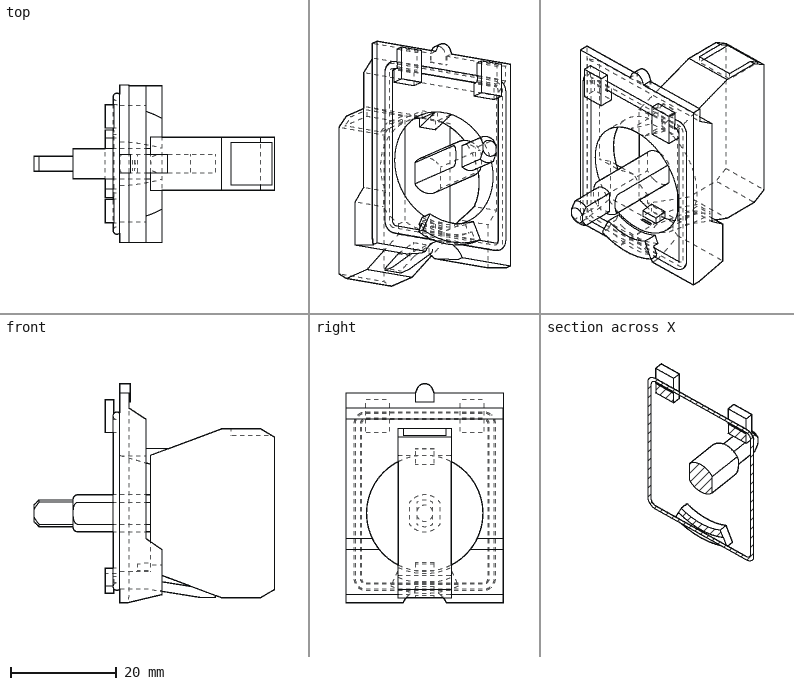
import cadquery as cq
import math


plate_half = 29.84 / 2
plate_top = 22.78
plate_bottom = -16.95
flange_thickness = 1.8
body_thickness = 5.0
base_thickness = 8.03
body_side_step = 0.12
slope_foot_z = 19.9
body_top = 17.8
body_bottom = -4.8
base_top = -6.9
base_rear_bottom = -15.4
bottom_flat = 1.5
opening_radius = 11.0
notch_radius = 4.5
notch_center_z = -18.8

tab_top = 24.55
tab_bottom = 21.1
tab_half_width = 1.78
tab_nose_radius = 1.55
tab_thickness = 2.0

wire_radius = 0.72
wire_center_x = -0.53
frame_half_width = 12.65
frame_top = 18.47
frame_bottom = -13.88
frame_corner_radius = 1.5

hook_front = -2.77
hook_back = -1.1
hook_top = 21.5
hook_height = 6.25
hook_width = 4.47
hook_center_y = 8.95
lower_hook_inner_radius = 11.43
lower_hook_outer_radius = 15.18
lower_hook_half_angle = math.radians(25)

block_front = 5.81
block_back = 29.33
block_half_width = 5.05
block_half_height = 16.0
block_front_half_height = 10.97
block_back_half_height = 14.43
taper_end = 19.3
bevel_start = 26.66
pocket_front = 21.06
pocket_back = 28.82
pocket_half_width = 4.0
pocket_floor = 14.75

shaft_front = -8.86
shaft_radius = 3.53
shaft_half_flat = 2.85
shaft_edge_radius = 0.95
tip_front = -16.26
tip_radius = 2.56
tip_half_flat = 1.46
tip_chamfer = 1.0
joint_overlap = 2.0

latch_half_width = 1.75
upper_latch_front = 0.0
upper_latch_back = 9.0
upper_latch_top = 12.28
upper_latch_front_underside = 10.95
upper_latch_underside_slope = -0.29
stop_front = 3.4
stop_front_top = -9.62
stop_back_top = -9.3
stop_bottom = -10.85
catch_front = 2.4
catch_length = 0.36
catch_top = -10.93
arm_slope = -0.16
arm_rear_face_top = -12.95
arm_rear_face_bottom = -14.8
arm_flat_bottom = -15.95
arm_back = 18.1


def extrude_across(points, y_min, y_max):
    """Extrude an XZ outline between two Y positions."""
    return cq.Workplane("XZ", origin=(0, y_max, 0)).polyline(points).close().extrude(y_max - y_min)


def box_between(x_range, y_range, z_range):
    """Box given by its limits along each axis."""
    size = [high - low for low, high in (x_range, y_range, z_range)]
    corner = (x_range[0], y_range[0], z_range[0])
    return cq.Workplane().box(*size, centered=False).translate(corner)


def make_plate():
    """Thin flange with a thicker stepped body, a round opening and a rounded notch at the bottom."""
    flange_outline = [
        (0, plate_top),
        (flange_thickness, plate_top),
        (flange_thickness, base_rear_bottom),
        (bottom_flat, plate_bottom),
        (0, plate_bottom),
    ]
    body_outline = [
        (0, slope_foot_z),
        (flange_thickness, slope_foot_z),
        (body_thickness, body_top),
        (body_thickness, body_bottom),
        (base_thickness, base_top),
        (base_thickness, base_rear_bottom),
        (bottom_flat, plate_bottom),
        (0, plate_bottom),
    ]
    flange = extrude_across(flange_outline, -plate_half, plate_half)
    body = extrude_across(body_outline, -plate_half, plate_half - body_side_step)
    opening = cq.Workplane("YZ").circle(opening_radius).extrude(base_thickness)
    notch = cq.Workplane("YZ").center(0, notch_center_z).circle(notch_radius).extrude(base_thickness)
    return flange.union(body).cut(opening).cut(notch)


def make_tab():
    """Tab with a round nose and straight flanks tangent to it, standing on the plate's top edge."""
    nose_center_z = tab_top - tab_nose_radius
    rise = nose_center_z - plate_top
    foot_distance = math.hypot(tab_half_width, rise)
    tangent_angle = math.acos(tab_nose_radius / foot_distance) - math.atan2(rise, tab_half_width)
    tangent_y = tab_nose_radius * math.cos(tangent_angle)
    tangent_z = nose_center_z + tab_nose_radius * math.sin(tangent_angle)
    return (
        cq.Workplane("YZ")
        .moveTo(-tab_half_width, tab_bottom)
        .lineTo(-tab_half_width, plate_top)
        .lineTo(-tangent_y, tangent_z)
        .threePointArc((0, tab_top), (tangent_y, tangent_z))
        .lineTo(tab_half_width, plate_top)
        .lineTo(tab_half_width, tab_bottom)
        .close()
        .extrude(tab_thickness)
    )


def make_frame():
    """Round wire swept along the outline of a rectangle with rounded corners."""
    height = frame_top - frame_bottom
    middle_z = (frame_top + frame_bottom) / 2
    enclosed_plate = (
        cq.Workplane("YZ", origin=(wire_center_x, 0, middle_z))
        .rect(2 * frame_half_width, height)
        .extrude(wire_radius)
        .edges("|X")
        .fillet(frame_corner_radius)
    )
    path = enclosed_plate.faces("<X").wires().val()
    start = cq.Workplane("XY", origin=(wire_center_x, frame_half_width, middle_z))
    return start.circle(wire_radius).sweep(path)


def make_upper_hook(center_y):
    """L-shaped hook: a plate over the wire, standing on a foot just inside the frame."""
    y_range = (center_y - hook_width / 2, center_y + hook_width / 2)
    hook_bottom = hook_top - hook_height
    cover = box_between((hook_front, hook_back), y_range, (hook_bottom, hook_top))
    foot = box_between((hook_back, 0), y_range, (hook_bottom, frame_top - wire_radius))
    return cover.union(foot)


def make_ring_sector(inner, outer, front, back):
    """Ring segment around the opening, centered on its lowest point."""

    def sector_point(radius, angle):
        return (radius * math.sin(angle), -radius * math.cos(angle))

    angle = lower_hook_half_angle
    return (
        cq.Workplane("YZ", origin=(front, 0, 0))
        .moveTo(*sector_point(inner, -angle))
        .threePointArc(sector_point(inner, 0), sector_point(inner, angle))
        .lineTo(*sector_point(outer, angle))
        .threePointArc(sector_point(outer, 0), sector_point(outer, -angle))
        .close()
        .extrude(back - front)
    )


def make_lower_hook():
    """Curved hook over the lower wire; its foot reaches out to the inner side of the wire."""
    foot_outer_radius = -(frame_bottom + wire_radius)
    cover = make_ring_sector(lower_hook_inner_radius, lower_hook_outer_radius, hook_front, hook_back)
    foot = make_ring_sector(lower_hook_inner_radius, foot_outer_radius, hook_back, 0)
    return cover.union(foot)


def make_block():
    upper_outline = [
        (block_front, block_front_half_height),
        (taper_end, block_half_height),
        (bevel_start, block_half_height),
        (block_back, block_back_half_height),
    ]
    lower_outline = [(x, -z) for x, z in reversed(upper_outline)]
    block = extrude_across(upper_outline + lower_outline, -block_half_width, block_half_width)
    pocket = box_between(
        (pocket_front, pocket_back),
        (-pocket_half_width, pocket_half_width),
        (pocket_floor, block_half_height),
    )
    return block.cut(pocket)


def cut_flats(rod, radius, half_flat, front, back):
    """Keep only the part of a round rod between its two side flats."""
    return rod.intersect(box_between((front, back), (-half_flat, half_flat), (-radius, radius)))


def make_shaft():
    shaft_back = block_front + joint_overlap
    shaft = (
        cq.Workplane("YZ", origin=(shaft_front, 0, 0))
        .circle(shaft_radius)
        .extrude(shaft_back - shaft_front)
        .faces("<X")
        .edges()
        .fillet(shaft_edge_radius)
    )
    tip_back = shaft_front + joint_overlap
    tip = (
        cq.Workplane("YZ", origin=(tip_front, 0, 0))
        .circle(tip_radius)
        .extrude(tip_back - tip_front)
        .faces("<X")
        .edges()
        .chamfer(tip_chamfer)
    )
    shaft = cut_flats(shaft, shaft_radius, shaft_half_flat, shaft_front, shaft_back)
    tip = cut_flats(tip, tip_radius, tip_half_flat, tip_front, tip_back)
    return shaft.union(tip)


def make_upper_latch():
    """Arm from the plate to the block with a flat top and a sloping underside."""
    latch_length = upper_latch_back - upper_latch_front
    outline = [
        (upper_latch_front, upper_latch_top),
        (upper_latch_back, upper_latch_top),
        (upper_latch_back, upper_latch_front_underside + upper_latch_underside_slope * latch_length),
        (upper_latch_front, upper_latch_front_underside),
    ]
    return extrude_across(outline, -latch_half_width, latch_half_width)


def make_stop():
    """Small stop in front of the block, just above the bottom of the opening."""
    outline = [
        (stop_front, stop_front_top),
        (block_front, stop_back_top),
        (block_front, stop_bottom),
        (stop_front, stop_bottom),
    ]
    return extrude_across(outline, -latch_half_width, latch_half_width)


def make_lower_arm():
    """Sloping arm from the plate base to the block, with a flat catch at its front end."""
    flat_start = base_thickness + (arm_flat_bottom - arm_rear_face_bottom) / arm_slope
    back_top = arm_rear_face_top + arm_slope * (arm_back - base_thickness)
    outline = [
        (catch_front, catch_top),
        (catch_front + catch_length, catch_top),
        (base_thickness, arm_rear_face_top),
        (arm_back, back_top),
        (arm_back, arm_flat_bottom),
        (flat_start, arm_flat_bottom),
        (base_thickness, arm_rear_face_bottom),
        (catch_front, arm_rear_face_bottom - arm_slope * (base_thickness - catch_front)),
    ]
    return extrude_across(outline, -latch_half_width, latch_half_width)


result = make_plate()
for feature in (
    make_tab(),
    make_frame(),
    make_upper_hook(-hook_center_y),
    make_upper_hook(hook_center_y),
    make_lower_hook(),
    make_block(),
    make_shaft(),
    make_upper_latch(),
    make_stop(),
    make_lower_arm(),
):
    result = result.union(feature)